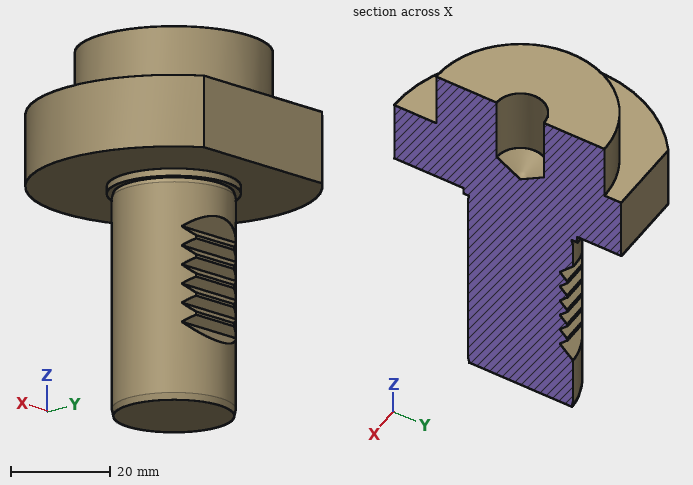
import cadquery as cq
import math

total_height = 76.0
flange_bottom = 48.0
flange_thickness = 15.0
collar_height = 1.5
neck_height = 1.0
end_chamfer_height = 1.45
flange_top = flange_bottom + flange_thickness
collar_bottom = flange_bottom - collar_height

head_diameter = 40.0
flange_diameter = 59.9
collar_diameter = 27.05
shank_diameter = 25.0
shank_inset = 0.3

flat_distance = 23.95

hole_diameter = 11.2
hole_depth = 15.2
drill_point_angle = 118.0

notch_count = 6
first_notch_height = 16.3
notch_span = 20.0
notch_pitch = notch_span / (notch_count - 1)
notch_angle = 90.0
root_distance = 9.4
crest_distance = 11.1


def make_turned_body():
    """Revolve the shank, collar, flange and head about Z."""
    shank_radius = shank_diameter / 2
    tapered_radius = shank_radius - shank_inset
    profile = [
        (0, 0),
        (tapered_radius, 0),
        (shank_radius, end_chamfer_height),
        (shank_radius, collar_bottom - neck_height),
        (tapered_radius, collar_bottom),
        (collar_diameter / 2, collar_bottom),
        (collar_diameter / 2, flange_bottom),
        (flange_diameter / 2, flange_bottom),
        (flange_diameter / 2, flange_top),
        (head_diameter / 2, flange_top),
        (head_diameter / 2, total_height),
        (0, total_height),
    ]
    return cq.Workplane("XZ").polyline(profile).close().revolve(360, (0, 0, 0), (0, 1, 0))


def make_flat_cutter():
    """Block that trims the flange to its flat."""
    return (
        cq.Workplane("XY", origin=(0, flat_distance, flange_bottom))
        .rect(flange_diameter, flange_diameter)
        .extrude(flange_thickness)
        .translate((0, flange_diameter / 2, 0))
    )


def make_hole_cutter():
    """Drill shape: a cylinder ending in a conical point."""
    radius = hole_diameter / 2
    point_length = radius / math.tan(math.radians(drill_point_angle / 2))
    shoulder = total_height - hole_depth
    profile = [
        (0, shoulder - point_length),
        (radius, shoulder),
        (radius, total_height),
        (0, total_height),
    ]
    return cq.Workplane("XZ").polyline(profile).close().revolve(360, (0, 0, 0), (0, 1, 0))


def make_serration_cutter():
    """Row of V notches with flat crests, running straight across the shank in X."""
    outer_distance = shank_diameter / 2
    slope = math.tan(math.radians(notch_angle / 2))
    crest_half_width = (crest_distance - root_distance) * slope
    runout = (outer_distance - root_distance) * slope
    last_notch_height = first_notch_height + notch_span

    outline = [(outer_distance, first_notch_height - runout)]
    for index in range(notch_count):
        root_height = first_notch_height + index * notch_pitch
        if index > 0:
            outline.append((crest_distance, root_height - crest_half_width))
        outline.append((root_distance, root_height))
        if index < notch_count - 1:
            outline.append((crest_distance, root_height + crest_half_width))
    outline.append((outer_distance, last_notch_height + runout))
    return cq.Workplane("YZ").polyline(outline).close().extrude(shank_diameter / 2, both=True)


result = (
    make_turned_body()
    .cut(make_flat_cutter())
    .cut(make_hole_cutter())
    .cut(make_serration_cutter())
)